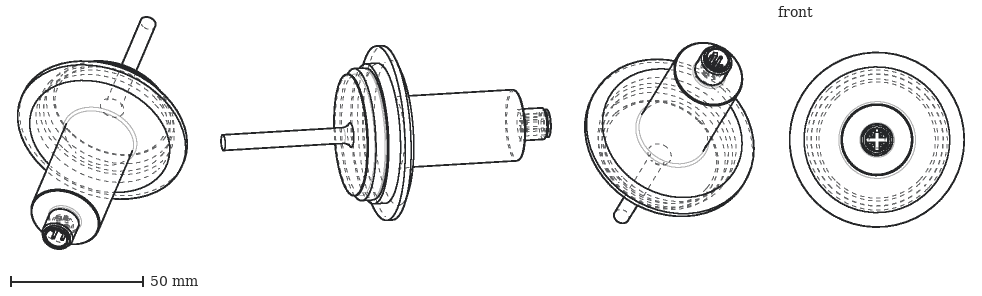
import math
import cadquery as cq


rod_radius = 6 / 2
rod_length = 50.0
rod_root_radius = 4.6
rod_root_height = 3.0

lip_radius = 46 / 2
lip_width = 0.4
neck_radius = 44 / 2
seal_radius = 50 / 2
seal_y = -2.9
undercut_y = -6.4
undercut_depth = 0.15
undercut_taper = 0.5
step_radius = 53 / 2
step_y = -7.5
flange_radius = 66 / 2
flange_y = -12.1
flange_rim_width = 2.3
flange_back_radius = 55 / 2
flange_back_y = -17.0

body_radius = 27 / 2
body_root_fillet = 1.0
body_end_y = -64.9
body_end_chamfer = 0.4

plug_radius = 12 / 2
plug_base_y = -65.5
plug_root_radius = 6.5
plug_root_height = 0.5
plug_neck_radius = 11.9 / 2
plug_neck_end_y = -67.0
plug_shoulder_y = -75.4
plug_nose_radius = 10.5 / 2
plug_nose_y = -76.1
plug_end_y = rod_length - 127.2

bore_radius = 8.3 / 2
bore_depth = 9.0
mouth_radius = 8.9 / 2
mouth_depth = 0.3
key_width = 1.3
key_inner_z = 2.8
key_length = 6.0
pin_radius = 1.0 / 2
pin_circle_radius = 2.5
pin_length = 7.0
pocket_radius = 3.5
pocket_depth = 1.0
pocket_web_width = 1.7
pin_angles = (45, 135, 225, 315)


def fillet_midpoint(radius, edge_radius, height, face_y, side):
    """Middle of an arc that leaves a cylinder tangentially and flares onto a face.

    The cylinder stands on the +Y (side = 1) or -Y (side = -1) side of the face.
    """
    flare = edge_radius - radius
    arc_radius = (flare ** 2 + height ** 2) / (2 * flare)
    half_angle = math.atan2(flare, height)
    x = radius + arc_radius * (1 - math.cos(half_angle))
    y = face_y + side * (height - arc_radius * math.sin(half_angle))
    return x, y


def make_revolved_body():
    """Solid outer shape, revolved from its half profile."""
    body_root_y = flange_back_y - body_root_fillet
    groove_start_y = -lip_width
    groove_mid_y = (groove_start_y + seal_y) / 2
    fillet_offset = body_root_fillet * (1 - math.sqrt(0.5))
    profile = (
        cq.Workplane("XY")
        .moveTo(0, rod_length)
        .lineTo(rod_radius, rod_length)
        .lineTo(rod_radius, rod_root_height)
        .threePointArc(
            fillet_midpoint(rod_radius, rod_root_radius, rod_root_height, 0, 1),
            (rod_root_radius, 0),
        )
        .lineTo(lip_radius, 0)
        .lineTo(lip_radius, groove_start_y)
        .threePointArc((neck_radius, groove_mid_y), (lip_radius, seal_y))
        .lineTo(seal_radius, seal_y)
        .lineTo(seal_radius, undercut_y)
        .lineTo(seal_radius - undercut_depth, undercut_y - undercut_taper)
        .lineTo(seal_radius - undercut_depth, step_y)
        .lineTo(step_radius, step_y)
        .lineTo(step_radius, flange_y)
        .lineTo(flange_radius, flange_y)
        .lineTo(flange_radius, flange_y - flange_rim_width)
        .lineTo(flange_back_radius, flange_back_y)
        .lineTo(body_radius + body_root_fillet, flange_back_y)
        .threePointArc(
            (body_radius + fillet_offset, flange_back_y - fillet_offset),
            (body_radius, body_root_y),
        )
        .lineTo(body_radius, body_end_y + body_end_chamfer)
        .lineTo(body_radius - body_end_chamfer, body_end_y)
        .lineTo(plug_root_radius, plug_base_y)
        .threePointArc(
            fillet_midpoint(plug_neck_radius, plug_root_radius, plug_root_height, plug_base_y, -1),
            (plug_neck_radius, plug_base_y - plug_root_height),
        )
        .lineTo(plug_neck_radius, plug_neck_end_y)
        .lineTo(plug_radius, plug_neck_end_y)
        .lineTo(plug_radius, plug_shoulder_y)
        .lineTo(plug_nose_radius, plug_nose_y)
        .lineTo(plug_nose_radius, plug_end_y)
        .lineTo(0, plug_end_y)
        .close()
    )
    return profile.revolve(360, (0, 0, 0), (0, 1, 0))


def make_cylinder(radius, y_from, length, x=0, z=0):
    """Cylinder along Y that starts at y_from and runs towards -Y."""
    return cq.Workplane("XZ", origin=(x, y_from, z)).circle(radius).extrude(length)


def make_contact_pockets(floor_y):
    """Four quarter-round pockets in the socket floor, separated by a cross-shaped web."""
    pockets = make_cylinder(pocket_radius, floor_y + pocket_depth, pocket_depth)
    web_bar = cq.Workplane("XY").box(
        2 * pocket_radius, pocket_depth, pocket_web_width, centered=(True, False, True)
    )
    web_bar = web_bar.translate((0, floor_y, 0))
    return pockets.cut(web_bar).cut(web_bar.rotate((0, 0, 0), (0, 1, 0), 90))


def make_socket():
    """Cavity of the plug, with the coding key and the four contact pins left standing."""
    floor_y = plug_end_y + bore_depth
    cavity = make_cylinder(bore_radius, floor_y, bore_depth)
    key_height = bore_radius - key_inner_z
    key = cq.Workplane("XY").box(key_width, key_length, key_height, centered=(True, False, False))
    cavity = cavity.cut(key.translate((0, floor_y - key_length, key_inner_z)))
    cavity = cavity.union(make_cylinder(mouth_radius, plug_end_y + mouth_depth, mouth_depth))
    cavity = cavity.union(make_contact_pockets(floor_y))
    for angle in pin_angles:
        pin_x = pin_circle_radius * math.cos(math.radians(angle))
        pin_z = pin_circle_radius * math.sin(math.radians(angle))
        pin = make_cylinder(pin_radius, floor_y + pocket_depth, pin_length + pocket_depth, pin_x, pin_z)
        cavity = cavity.cut(pin)
    return cavity


result = make_revolved_body().cut(make_socket())